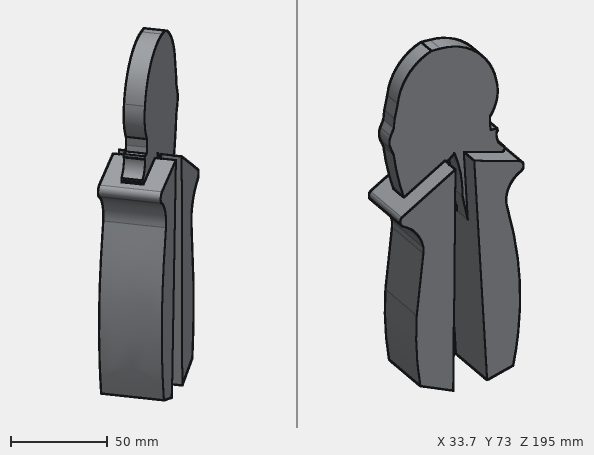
import cadquery as cq

GRIP_WIDTH = 33.7
PLATE_THICKNESS = 11.3
TOOL_HEIGHT = 195.0


def extrude_about_center(profile, width):
    """Close a YZ profile and extrude it to a width centered on X = 0."""
    return profile.close().extrude(width).translate((-width / 2, 0, 0))


def make_rear_grip():
    """Grip with a nearly vertical inner face and a finger guard pointing to +Y."""
    profile = (
        cq.Workplane("YZ")
        .moveTo(0, 0)
        .lineTo(-1.2, 128.8)
        .lineTo(30.5, 108.8)
        .threePointArc((31.4, 106.0), (29.6, 103.3))
        .threePointArc((22.2, 97.6), (17.7, 88.1))
        .lineTo(17.7, 84.5)
        .lineTo(21.6, 49.3)
        .threePointArc((21.8, 30.2), (19.5, 7.6))
    )
    return extrude_about_center(profile, GRIP_WIDTH)


def make_front_grip():
    """Leaning grip with a finger guard pointing to -Y."""
    profile = (
        cq.Workplane("YZ")
        .moveTo(-19.9, 1.2)
        .lineTo(-12.3, 131.2)
        .lineTo(-39.0, 124.2)
        .tangentArcPoint((-39.5, 118.0), relative=False)
        .threePointArc((-33.1, 111.3), (-31.4, 101.0))
        .spline([(-34.9, 86.2), (-38.8, 60.5), (-39.4, 41.0), (-35.3, 5.8)], includeCurrent=True)
    )
    return extrude_about_center(profile, GRIP_WIDTH)


def make_jaw_plate():
    """Rounded head with a stepped nose in front, a spur behind and two legs below."""
    profile = (
        cq.Workplane("YZ")
        .moveTo(6.8, TOOL_HEIGHT)
        .lineTo(1.5, TOOL_HEIGHT)
        .threePointArc((-19.7, 187.7), (-31.5, 167.8))
        .threePointArc((-32.0, 157.5), (-27.9, 148.0))
        .lineTo(-27.7, 143.3)
        .lineTo(-28.3, 140.0)
        .lineTo(-32.0, 140.0)
        .lineTo(-32.4, 138.5)
        .lineTo(-31.8, 138.0)
        .threePointArc((-32.7, 132.0), (-36.3, 128.3))
        .lineTo(-36.5, 127.0)
        .lineTo(-35.9, 125.7)
        .lineTo(-32.0, 124.0)
        .lineTo(-15.0, 89.3)
        .lineTo(-11.5, 105.6)
        .threePointArc((-10.3, 119.7), (-6.8, 131.5))
        .lineTo(-3.0, 128.3)
        .threePointArc((-5.3, 119.3), (-6.5, 109.7))
        .threePointArc((-5.0, 88.1), (0.4, 67.5))
        .lineTo(22.6, 112.0)
        .threePointArc((26.5, 125.7), (29.0, 139.8))
        .lineTo(30.6, 143.5)
        .threePointArc((31.5, 147.4), (30.8, 151.3))
        .lineTo(29.0, 155.3)
        .lineTo(28.5, 160.8)
        .lineTo(26.7, 169.0)
        .threePointArc((19.7, 185.5), (6.8, TOOL_HEIGHT))
    )
    return extrude_about_center(profile, PLATE_THICKNESS)


result = make_jaw_plate().union(make_rear_grip()).union(make_front_grip())